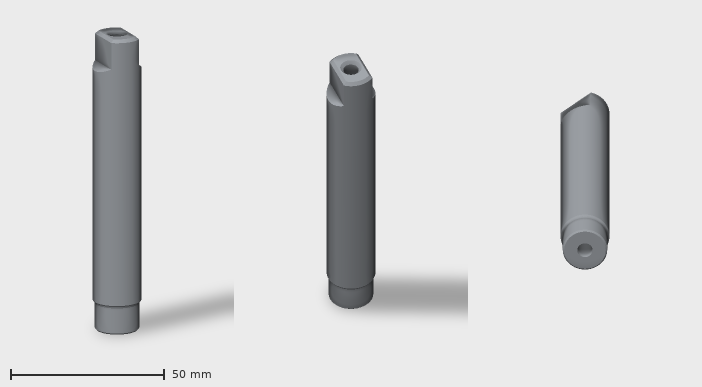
import cadquery as cq
import math

length = 100.0
body_radius = 15.9 / 2
top_chamfer = 1.0

spigot_radius = 14.5 / 2
spigot_length = 9.5
spigot_chamfer = 0.5
shoulder_chamfer = 0.5
flare_height = 0.5

tang_thickness = 10.0
tang_length = 10.0
runout_angle = 30.0

hole_diameter = 5.0
countersink_diameter = 7.0
countersink_angle = 90.0


def make_root_flare():
    """Cone that widens the top of the spigot to meet the shoulder chamfer."""
    return (
        cq.Workplane("XZ")
        .moveTo(0, spigot_length - flare_height)
        .lineTo(spigot_radius, spigot_length - flare_height)
        .lineTo(body_radius - shoulder_chamfer, spigot_length)
        .lineTo(0, spigot_length)
        .close()
        .revolve(360, (0, 0, 0), (0, 1, 0))
    )


def make_shaft():
    """Stepped round bar standing on the XY plane."""
    spigot = cq.Workplane("XY").circle(spigot_radius).extrude(spigot_length)
    spigot = spigot.faces("<Z").chamfer(spigot_chamfer)
    body = (
        cq.Workplane("XY")
        .workplane(offset=spigot_length)
        .circle(body_radius)
        .extrude(length - spigot_length)
        .faces("<Z")
        .chamfer(shoulder_chamfer)
    )
    return spigot.union(make_root_flare()).union(body)


def make_flat_cutter():
    """Material removed on the +Y side: a vertical flat with a sloping runout."""
    inner_y = tang_thickness / 2
    outer_y = body_radius + top_chamfer
    flat_bottom = length - tang_length
    runout_drop = (outer_y - inner_y) * math.tan(math.radians(runout_angle))
    return (
        cq.Workplane("YZ")
        .moveTo(inner_y, length)
        .lineTo(inner_y, flat_bottom)
        .lineTo(outer_y, flat_bottom - runout_drop)
        .lineTo(outer_y, length)
        .close()
        .extrude(body_radius, both=True)
    )


flat_cutter = make_flat_cutter()
result = make_shaft().cut(flat_cutter).cut(flat_cutter.mirror("XZ"))

result = result.faces(">Z").chamfer(top_chamfer)

result = (
    result.faces(">Z")
    .workplane(origin=(0, 0, length))
    .cskHole(hole_diameter, countersink_diameter, countersink_angle)
)